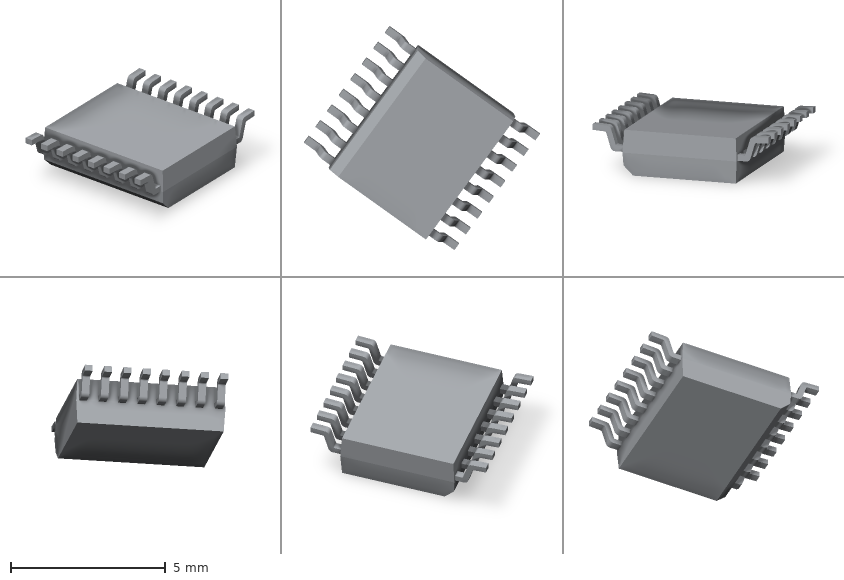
import cadquery as cq
import math

body_length = 4.9
body_width = 3.9
body_height = 1.5
draft_inset = 0.05
parting_z = body_height / 2
chamfer_setback = 0.3

leads_per_side = 8
lead_pitch = 0.635
lead_width = 0.25
lead_thickness = 0.2
lead_span = 6.0
tip_z = 1.6
shoulder_y = 2.21
web_angle = 73.0
foot_angle = 3.0
inner_bend_radius = 0.05
outer_bend_radius = 0.15
lead_embed = 0.3
lead_root_y = body_width / 2 - lead_embed


def body_half(height):
    """Half of the body, tapering from the parting plane by a signed height."""
    taper = math.degrees(math.atan2(draft_inset, abs(height)))
    return (
        cq.Workplane("XY")
        .workplane(offset=parting_z)
        .rect(body_length, body_width)
        .extrude(height, taper=taper)
    )


def edge_chamfer():
    """Wedge removed from the lower -Y edge of the body."""
    start_y = -(body_width / 2 - draft_inset) + chamfer_setback
    reach = 2 * chamfer_setback
    return (
        cq.Workplane("YZ")
        .polyline([(start_y, 0), (start_y - reach, reach), (start_y - reach, 0)])
        .close()
        .extrude(body_length / 2, both=True)
    )


def lower_corner(upper_corner, angle_before, angle_after):
    """Corner on the lead's lower face opposite a corner on its upper face."""
    bisector = math.radians((angle_before + angle_after) / 2 - 90)
    half_turn = math.radians((angle_after - angle_before) / 2)
    distance = lead_thickness / math.cos(half_turn)
    y, z = upper_corner
    return (y + distance * math.cos(bisector), z + distance * math.sin(bisector))


def lead():
    """One lead on the +Y side, centred on X = 0."""
    web_slope = math.tan(math.radians(web_angle))
    foot_slope = math.tan(math.radians(foot_angle))
    tip_y = lead_span / 2
    shoulder_z = parting_z + lead_thickness

    foot_z_above_shoulder = tip_z - (tip_y - shoulder_y) * foot_slope
    web_run = (foot_z_above_shoulder - shoulder_z) / (web_slope - foot_slope)
    shoulder = (shoulder_y, shoulder_z)
    knee = (shoulder_y + web_run, shoulder_z + web_run * web_slope)
    lower_shoulder = lower_corner(shoulder, 0, web_angle)
    lower_knee = lower_corner(knee, foot_angle, web_angle)
    lower_tip_z = tip_z - lead_thickness / math.cos(math.radians(foot_angle))

    strip = (
        cq.Workplane("YZ")
        .polyline([
            (lead_root_y, shoulder_z),
            shoulder,
            knee,
            (tip_y, tip_z),
            (tip_y, lower_tip_z),
            lower_knee,
            lower_shoulder,
            (lead_root_y, parting_z),
        ])
        .close()
        .extrude(lead_width / 2, both=True)
    )
    bends = [
        (shoulder, inner_bend_radius),
        (knee, outer_bend_radius),
        (lower_knee, inner_bend_radius),
        (lower_shoulder, outer_bend_radius),
    ]
    for (y, z), radius in bends:
        strip = strip.edges(cq.selectors.NearestToPointSelector((0, y, z))).fillet(radius)
    return strip


body = body_half(parting_z).union(body_half(-parting_z)).cut(edge_chamfer())

rear_lead = lead()
front_lead = rear_lead.mirror("XZ")
result = body
for index in range(leads_per_side):
    x = (index - (leads_per_side - 1) / 2) * lead_pitch
    result = result.union(rear_lead.translate((x, 0, 0)))
    result = result.union(front_lead.translate((x, 0, 0)))